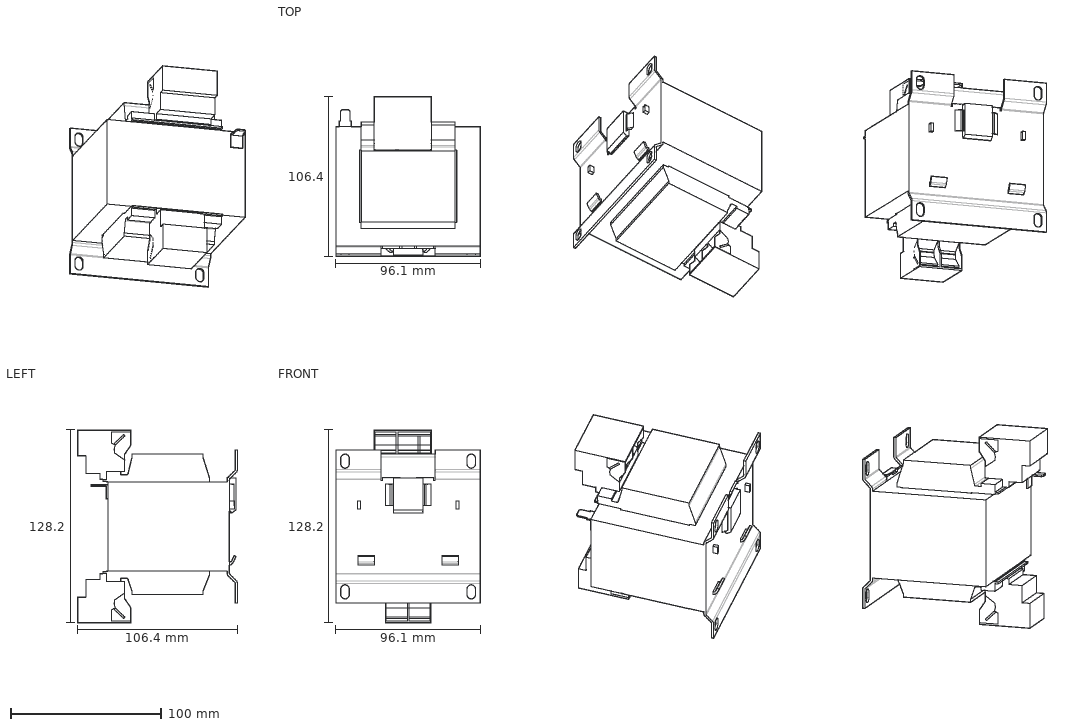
import cadquery as cq
import math


plate_width = 96.06
plate_height = 102.0
sheet = 1.6
foot_offset = 5.4
foot_bend_z = 36.9
inner_bend_radius = 0.9
outer_bend_radius = inner_bend_radius + sheet
notch_half_width = 17.9
notch_floor_z = 32.6
relief_width = 1.0
relief_depth = 2.0
saddle_half_width = 5.6
saddle_depth = 1.4
slot_width = 5.5
slot_length = 9.2
slot_x = 42.0
slot_z = 43.5

clip_half_width = 9.75
clip_front_y = 1.0
clip_top_z = 32.3
clip_bottom_z = 9.1
clip_chamfer_y = 2.6
clip_chamfer_z = 2.0
clip_lip_y = 4.7
clip_lip_z = 10.1
wing_half_width = 15.2
wing_knee_x = 11.9
wing_front_y = 2.5
wing_thickness = 1.2
wing_web_x = 10.9
wing_web_setback = 0.5
wing_top_z = 28.2
wing_bottom_z = 13.9
tab_width = 2.1
tab_x = 32.75
tab_front_y = 2.1
tab_top_z = 17.1
tab_bottom_z = 11.5
hook_inner_x = 22.4
hook_outer_x = 33.5
hook_bend_radius = 3.0
hook_root_top = (foot_offset, -23.3)
hook_crook = (4.2, -23.4)
hook_tip_back = (2.4, -19.3)
hook_tip_front = (1.0, -19.9)
hook_bend_start = (2.6, -23.5)
hook_bend_end = (3.3, -24.5)
hook_heel = (4.6, -25.7)
hook_root_bottom = (foot_offset, -25.7)

core_half_height = 29.7
core_back_y = 86.4
window_half_width = 32.3
window_front_y = 22.6
window_back_y = 70.8

bobbin_half_width = 31.3
bobbin_upper_height = 48.4
bobbin_lower_height = 45.4
bobbin_rim = 2.2
bobbin_front_y = 18.6
bobbin_top_front_y = 23.0
bobbin_top_back_y = 70.3
bobbin_front_foot_z = 32.2
ledge_z = 36.5
ledge_front_y = 77.6
bobbin_back_y = 87.4
channel_z = 34.5
channel_front_y = 73.4
channel_radius = 1.0
flange_back_y = 89.6
flange_bottom_z = 30.1
flange_top_z = 31.3

overall_depth = 106.42
overall_height = 128.2
terminal_top_z = overall_height / 2
terminal_pitch = 7.6
upper_left_poles = 2
upper_right_poles = 3
lower_poles = 2
upper_split_x = -7.4
upper_left_x = upper_split_x - upper_left_poles * terminal_pitch
terminal_wall = 0.55
terminal_front_y = 71.0
terminal_neck_y = 75.1
terminal_step_y = 101.0
terminal_brow_z = 54.1
terminal_neck_z = 48.0
terminal_step_z = 47.0
terminal_base_z = 35.2
terminal_foot_y = 91.7
entry_back_y = 83.8
entry_top_z = 63.0
entry_bottom_z = 55.4
blade_tip = (75.0, 60.3)
blade_root = (81.4, 54.2)
entry_ledge = [(82.3, 50.9), (81.8, 50.6), (81.8, 48.9)]
ramp_end = (terminal_neck_y, 44.2)
blade_thickness = 1.2
rib_width = 1.15
rib_height = 0.2

earth_x = -41.85
earth_base_width = 8.2
earth_blade_width = 6.5
earth_base_end_y = 90.2
earth_end_y = 97.7
earth_top_z = 27.8
earth_bottom_z = 18.3
earth_sheet = 1.1
earth_chamfer = 1.0


def box(x0, x1, y0, y1, z0, z1):
    """Box between two opposite corners."""
    return cq.Workplane("XY").box(x1 - x0, y1 - y0, z1 - z0, centered=False).translate((x0, y0, z0))


def extrude_x(outline, x0, x1):
    """Closed sketch in (Y, Z) extruded from x0 to x1."""
    return outline.extrude(x1 - x0).translate((x0, 0, 0))


def prism_x(points, x0, x1):
    """Polygon of (Y, Z) points extruded from x0 to x1."""
    return extrude_x(cq.Workplane("YZ").polyline(points).close(), x0, x1)


def both_sides(solid):
    """Solid joined with its mirror image across X = 0."""
    return solid.union(solid.mirror("YZ"))


def make_plate():
    half = plate_width / 2
    top = plate_height / 2
    plate_y = foot_offset
    shift = sheet * math.tan(math.radians(22.5))
    knee_z = foot_bend_z - foot_offset
    points = [(0, top), (0, foot_bend_z), (plate_y, knee_z)]
    points += [(plate_y, -knee_z), (0, -foot_bend_z), (0, -top)]
    points += [(sheet, -top), (sheet, -foot_bend_z - shift), (plate_y + sheet, -knee_z - shift)]
    points += [(plate_y + sheet, knee_z + shift), (sheet, foot_bend_z + shift), (sheet, top)]
    plate = prism_x(points, -half, half)
    for side in (1, -1):
        bends = (
            (0, foot_bend_z, outer_bend_radius),
            (sheet, foot_bend_z + shift, inner_bend_radius),
            (plate_y, knee_z, inner_bend_radius),
            (plate_y + sheet, knee_z + shift, outer_bend_radius),
        )
        for y, z, radius in bends:
            corner = cq.selectors.NearestToPointSelector((0, y, side * z))
            plate = plate.edges(corner).fillet(radius)

    far_y = plate_y + sheet
    relief_z = notch_floor_z - relief_depth
    flat_half = notch_half_width - relief_width
    plate = plate.cut(box(-notch_half_width, notch_half_width, 0, far_y, relief_z, top))
    plate = plate.union(box(-flat_half, flat_half, plate_y, far_y, relief_z, notch_floor_z))
    saddle_floor_half = saddle_half_width - saddle_depth
    saddle_floor_z = notch_floor_z - saddle_depth
    saddle = (
        cq.Workplane("XZ")
        .polyline([
            (-saddle_half_width, notch_floor_z), (-saddle_floor_half, saddle_floor_z),
            (saddle_floor_half, saddle_floor_z), (saddle_half_width, notch_floor_z),
        ])
        .close()
        .extrude(-far_y)
    )
    plate = plate.cut(saddle)
    centres = [(x, z) for x in (-slot_x, slot_x) for z in (-slot_z, slot_z)]
    slots = cq.Workplane("XZ").pushPoints(centres).slot2D(slot_length, slot_width, 90)
    return plate.cut(slots.extrude(-sheet))


def make_clip():
    points = [(foot_offset, clip_top_z), (clip_front_y, clip_top_z)]
    points += [(clip_front_y, clip_bottom_z + clip_chamfer_z)]
    points += [(clip_front_y + clip_chamfer_y, clip_bottom_z), (clip_lip_y, clip_bottom_z)]
    points += [(clip_lip_y, clip_lip_z), (foot_offset, clip_lip_z)]
    clip = prism_x(points, -clip_half_width, clip_half_width)
    wing = (
        cq.Workplane("XY")
        .moveTo(clip_half_width, wing_front_y + wing_web_setback)
        .lineTo(wing_web_x, wing_front_y + wing_web_setback)
        .lineTo(wing_web_x, wing_front_y)
        .lineTo(wing_knee_x, wing_front_y)
        .lineTo(wing_half_width, foot_offset)
        .lineTo(wing_half_width - 2 * wing_thickness, foot_offset)
        .lineTo(wing_knee_x - wing_thickness / 2, wing_front_y + wing_thickness)
        .lineTo(clip_half_width, wing_front_y + wing_thickness)
        .close()
        .extrude(wing_top_z - wing_bottom_z)
        .translate((0, 0, wing_bottom_z))
    )
    return clip.union(both_sides(wing))


def make_plate_tabs():
    left_x = tab_x - tab_width / 2
    tab = box(left_x, left_x + tab_width, tab_front_y, foot_offset, tab_bottom_z, tab_top_z)
    hook_outline = (
        cq.Workplane("YZ")
        .moveTo(*hook_root_top)
        .lineTo(*hook_crook)
        .lineTo(*hook_tip_back)
        .lineTo(*hook_tip_front)
        .lineTo(*hook_bend_start)
        .radiusArc(hook_bend_end, -hook_bend_radius)
        .lineTo(*hook_heel)
        .lineTo(*hook_root_bottom)
        .close()
    )
    hook = extrude_x(hook_outline, hook_inner_x, hook_outer_x)
    return both_sides(tab.union(hook))


def make_core():
    half = plate_width / 2
    core = box(-half, half, foot_offset + sheet, core_back_y, -core_half_height, core_half_height)
    gap = box(
        bobbin_half_width, window_half_width, window_front_y, window_back_y,
        -core_half_height, core_half_height,
    )
    return core.cut(both_sides(gap))


def make_bobbin_end(height):
    """Upper bobbin end with its flat top at the given height above the core centre."""
    shoulder_z = height - bobbin_rim
    outline = (
        cq.Workplane("YZ")
        .moveTo(bobbin_front_y, core_half_height)
        .lineTo(bobbin_front_y, bobbin_front_foot_z)
        .lineTo(bobbin_top_front_y, shoulder_z)
        .lineTo(bobbin_top_front_y, height)
        .lineTo(bobbin_top_back_y, height)
        .lineTo(bobbin_top_back_y, shoulder_z)
        .lineTo(channel_front_y - channel_radius / 2, channel_z + channel_radius)
        .radiusArc((channel_front_y + channel_radius / 2, channel_z), -channel_radius)
        .lineTo(ledge_front_y, channel_z)
        .lineTo(ledge_front_y, ledge_z)
        .lineTo(bobbin_back_y, ledge_z)
        .lineTo(bobbin_back_y, core_half_height)
        .close()
    )
    body = extrude_x(outline, -bobbin_half_width, bobbin_half_width)
    flange = box(
        -bobbin_half_width, bobbin_half_width, ledge_front_y, flange_back_y,
        flange_bottom_z, flange_top_z,
    )
    return body.union(flange)


def make_terminal(x0, poles):
    """Upper terminal block of the given number of poles, starting at x0."""
    x1 = x0 + poles * terminal_pitch
    outline = [(terminal_front_y, terminal_top_z), (terminal_front_y, terminal_brow_z)]
    outline += [(terminal_neck_y, terminal_neck_z), (terminal_neck_y, ledge_z), (bobbin_back_y, ledge_z)]
    outline += [(bobbin_back_y, flange_top_z), (terminal_foot_y, flange_top_z)]
    outline += [(terminal_foot_y, terminal_base_z), (terminal_step_y, terminal_base_z)]
    outline += [(terminal_step_y, terminal_step_z), (overall_depth, terminal_step_z)]
    outline += [(overall_depth, terminal_top_z)]
    block = prism_x(outline, x0, x1)

    in0 = x0 + terminal_wall
    in1 = x1 - terminal_wall
    entry = [(terminal_front_y, entry_top_z), (entry_back_y, entry_top_z)]
    entry += [(entry_back_y, entry_bottom_z), blade_root, *entry_ledge, ramp_end]
    entry += [(terminal_front_y, ramp_end[1])]
    block = block.cut(prism_x(entry, in0, in1))

    across = blade_thickness / math.sqrt(2)
    blade = [blade_root, blade_tip]
    blade += [(y + across, z + across) for y, z in (blade_tip, blade_root)]
    block = block.union(prism_x(blade, in0, in1))
    if poles % 2:
        rib_x = x1 - terminal_pitch - rib_width
        base = [blade_tip, blade_root, *entry_ledge, ramp_end]
        rib = base + [(y - rib_height, z) for y, z in reversed(base)]
        block = block.union(prism_x(rib, rib_x, rib_x + rib_width))
    return block


def make_earth_tab():
    base = box(
        -earth_base_width / 2, earth_base_width / 2, core_back_y, core_back_y + earth_sheet,
        earth_bottom_z, earth_top_z,
    )
    arm_z = earth_top_z - earth_sheet
    shoulder = box(
        -earth_base_width / 2, earth_base_width / 2, core_back_y, earth_base_end_y,
        arm_z, earth_top_z,
    )
    blade = box(
        -earth_blade_width / 2, earth_blade_width / 2, core_back_y, earth_end_y,
        arm_z, earth_top_z,
    )
    blade = blade.edges("|Z and >Y").chamfer(earth_chamfer)
    return base.union(shoulder).union(blade).translate((earth_x, 0, 0))


upper_terminals = make_terminal(upper_left_x, upper_left_poles)
upper_terminals = upper_terminals.union(make_terminal(upper_split_x, upper_right_poles))
lower_terminals = make_terminal(-lower_poles * terminal_pitch, lower_poles)
lower_terminals = lower_terminals.union(make_terminal(0, lower_poles)).mirror("XY")
upper_bobbin_end = make_bobbin_end(bobbin_upper_height)
lower_bobbin_end = make_bobbin_end(bobbin_lower_height).mirror("XY")

result = make_core().union(make_plate())
for piece in (
    make_clip(), make_plate_tabs(), upper_bobbin_end, lower_bobbin_end,
    upper_terminals, lower_terminals, make_earth_tab(),
):
    result = result.union(piece)